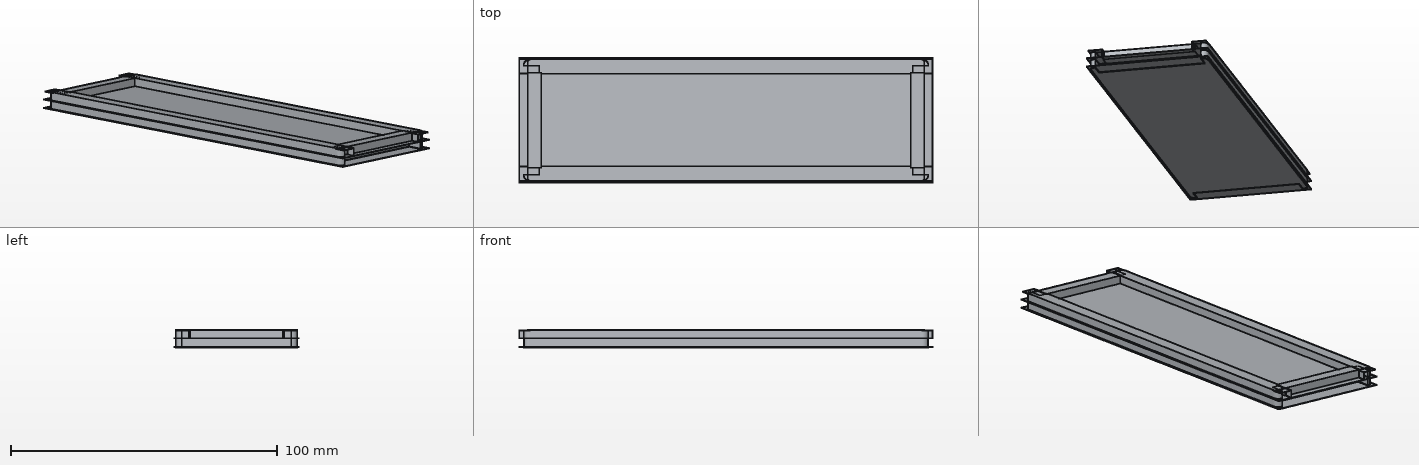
import cadquery as cq

length = 155.0
width = 46.8
height = 6.7
deck_z = 3.5

sheet = 0.2
floor_gap = 0.2
end_recess = 7.5
core_length = length - 2 * end_recess

side_length = 151.5
side_width = 45.5
side_wall = 2.3
corner_radius = 2.2

frame_length = 148.8
rail_inner_y = 17.4
cap_radius = 1.2
bar_width = 5.1
bar_tenon = 0.5
bar_length = 2 * (rail_inner_y + bar_tenon)


def block(size_x, size_y, bottom, top, y=0.0, x=0.0):
    """Box centred on (x, y) between two heights."""
    box = cq.Workplane("XY").box(size_x, size_y, top - bottom, centered=(True, True, False))
    return box.translate((x, y, bottom))


def side_ring(bottom, top):
    """Two long side walls left when the middle of a rounded block is removed."""
    outer = block(side_length, side_width, bottom, top).edges("|Z").fillet(corner_radius)
    return outer.cut(block(length, side_width - 2 * side_wall, bottom, top))


def make_base():
    """Floor and deck plates joined by a recessed core and two side walls."""
    base = block(length, width, floor_gap, floor_gap + sheet)
    base = base.union(block(core_length, side_width, 0, deck_z))
    base = base.union(side_ring(0, deck_z))
    return base.union(block(length, width, deck_z - sheet, deck_z))


def make_bar(side):
    """End bar across the frame; side is -1 or 1 along X."""
    bar_x = side * (frame_length - bar_width) / 2
    return block(bar_width, bar_length, deck_z, height, x=bar_x)


def make_rail(side):
    """Long rail with open end pockets; side is -1 or 1 along Y."""
    rail_width = side_width / 2 - rail_inner_y
    rail_y = side * (rail_inner_y + rail_width / 2)
    ledge_z = height - sheet
    web_y = side * (rail_inner_y + sheet / 2)

    rail = block(core_length, rail_width, deck_z, ledge_z, rail_y)
    outer_wall = side_ring(deck_z, ledge_z).intersect(block(length, rail_width, deck_z, ledge_z, rail_y))
    rail = rail.union(outer_wall)
    rail = rail.union(block(length, sheet, deck_z, ledge_z, web_y))
    rail = rail.union(block(length, rail_width, ledge_z - sheet, ledge_z, rail_y))

    cap = block(frame_length, rail_width, ledge_z, height, rail_y)
    outer_edges = "|Z and >Y" if side > 0 else "|Z and <Y"
    rail = rail.union(cap.edges(outer_edges).fillet(cap_radius))

    for bar_side in (-1, 1):
        rail = rail.cut(make_bar(bar_side))
    return rail


base = make_base()
rails = [make_rail(side) for side in (-1, 1)]
bars = [make_bar(side) for side in (-1, 1)]

result = cq.Compound.makeCompound(
    [base.val(), *[rail.val() for rail in rails], *[bar.val() for bar in bars]]
)